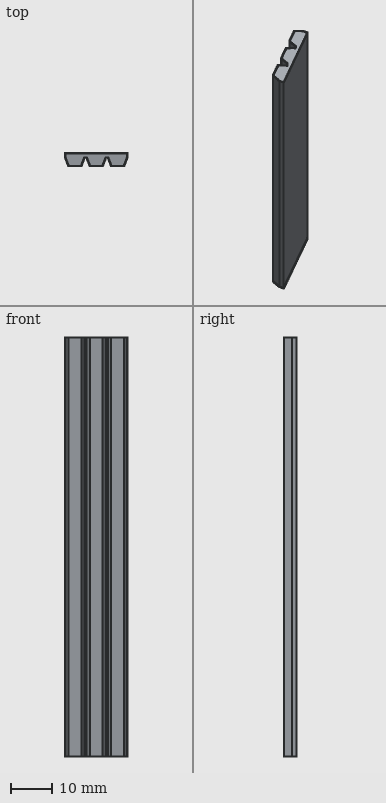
import cadquery as cq
import math

length = 101.6
thickness = 3.1
rib_count = 3
rib_pitch = 5.2
rib_width = 4.7
backing_thickness = 1.1
flank_angle = 21.0

total_width = (rib_count - 1) * rib_pitch + rib_width
rib_height = thickness - backing_thickness
flank_run = rib_height * math.tan(math.radians(flank_angle))
rib_tip_width = rib_width - 2 * flank_run


def make_backing():
    """Flat backing with its outer face at Y = 0."""
    return (
        cq.Workplane("XY")
        .rect(total_width, backing_thickness)
        .extrude(length)
        .translate((0, -backing_thickness / 2, 0))
    )


def make_rib(center_x):
    """Trapezoidal rib narrowing from the backing toward -Y."""
    return (
        cq.Workplane("XY")
        .polyline([
            (center_x - rib_width / 2, -backing_thickness),
            (center_x - rib_tip_width / 2, -thickness),
            (center_x + rib_tip_width / 2, -thickness),
            (center_x + rib_width / 2, -backing_thickness),
        ])
        .close()
        .extrude(length)
    )


result = make_backing()
for index in range(rib_count):
    rib_x = (index - (rib_count - 1) / 2) * rib_pitch
    result = result.union(make_rib(rib_x))